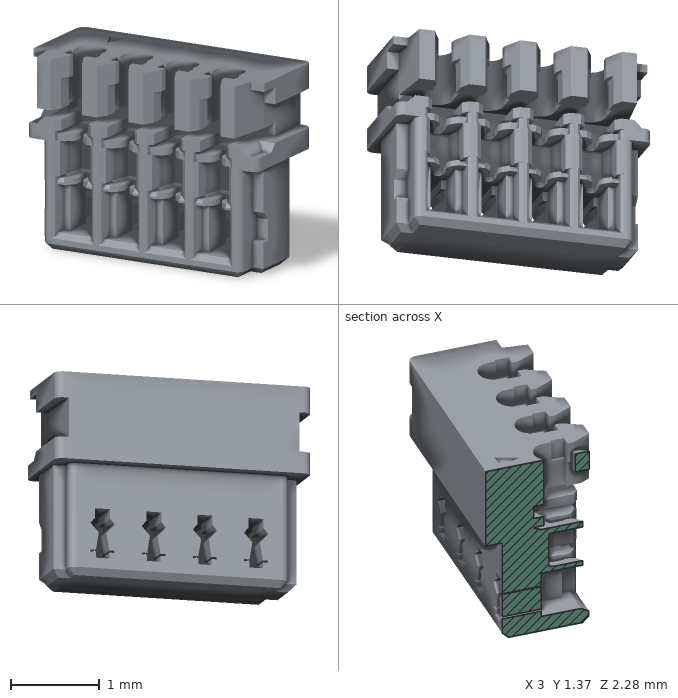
import cadquery as cq


length = 3.0
height = 2.28
front_y = 0.0
back_y = 1.24
tooth_front_y = -0.132
overcut = 0.09

contact_count = 4
pitch = 0.6
contact_xs = [(i - (contact_count - 1) / 2) * pitch for i in range(contact_count)]

body_half = 1.287
body_back_y = 1.04
body_round = 0.085
bottom_chamfer = 0.078
panel_half = 1.425
panel_front_y = 0.282
panel_back_y = 0.865
latch_depth = 0.095
latch_bottom = 0.387
latch_top = 0.635

flange_bottom = 1.278
flange_top = 1.527
flange_round = 0.095
corner_floor = 1.437
corner_floor_x = 1.383
corner_floor_y = 0.32

neck_half = 1.353
neck_front_y = 0.415
plate_bottom = 1.98
tab_bottom = 2.185
tab_front_y = 0.168
tooth_bottom = 1.68
tooth_row_half = 1.285
wire_slot_left = -1.203
wire_slot_back_y = 0.66

wire_radius = 0.177
wire_back_y = 0.605
notch_half = 0.207
notch_back_y = 0.333
notch_floor = 2.03
hook_half = 0.0885
hook_tip_y = 0.095
flare_half = 0.205
lower_gap_half = 0.14

flange_mouth_half = 0.24
mouth_half = 0.273
mouth_depth = 0.03
wall_front_half = 0.24
wall_back_half = 0.225
window_depth = 0.215
sill_front = 0.145
sill_depth = 0.1
cavity_floor = 0.198
window_top = 0.865
channel_half = 0.147
shelf_half = 0.222
shelf_back_y = 0.573
shelf_slope_end_y = 0.657
shelf_top = 1.4
barrel_mouth_half = 0.26
barrel_half = 0.198
barrel_back_half = 0.15
barrel_taper_y = 0.29
barrel_back_y = 0.48
barrel_floor_bevel = 0.027
barrel_roof_bevel = 0.015

upper_guide_bottom = flange_bottom
upper_guide_top = 1.36
lower_guide_bottom = 0.768
lower_guide_top = 0.835
guide_front_y = 0.065
guide_slot_radius = 0.0555
guide_slot_back_y = 0.462
guide_slot_start_y = 0.285
guide_neck_half = 0.042
guide_neck_back_y = 0.255
guide_neck_front_y = 0.19
guide_throat_half = 0.055
guide_throat_y = 0.153
guide_lip_half = 0.072
guide_lip_y = 0.125
guide_bevel = 0.04

throat_front_y = 0.57
throat_back_y = 0.81
throat_wide = 0.14
throat_foot = 0.078
throat_waist = 0.045
throat_top = hook_half
slit_bottom = 0.267
slit_top = 0.29
waist_z = 0.492
bulge_z = 0.597
neck_z = 0.66

arrow_half = 0.105
arrow_base_y = 1.04
arrow_tip_y = 0.783
arrow_depth = 0.03


def box(x0, x1, y0, y1, z0, z1):
    """Axis-aligned block between opposite corners."""
    return cq.Workplane("XY", origin=(x0, y0, z0)).box(x1 - x0, y1 - y0, z1 - z0, centered=False)


def prism(points, z0, z1):
    """Plan outline raised from z0 to z1."""
    return cq.Workplane("XY", origin=(0, 0, z0)).polyline(points).close().extrude(z1 - z0)


def mirrored(points):
    """Close a +X half outline with its mirror image."""
    return points + [(-x, y) for x, y in reversed(points)]


def side_profile(points, half_width):
    """(Y, Z) outline extruded both ways along X."""
    return cq.Workplane("YZ").polyline(points).close().extrude(half_width, both=True)


def round_slot(half, end_y, z0, z1):
    """Slot of constant width running in from the front to a round end at end_y."""
    centre_y = end_y - half
    start_y = tooth_front_y - overcut
    return (
        cq.Workplane("XY", origin=(0, 0, z0))
        .moveTo(-half, start_y)
        .lineTo(-half, centre_y)
        .threePointArc((0, end_y), (half, centre_y))
        .lineTo(half, start_y)
        .close()
        .extrude(z1 - z0)
    )


def on_both_ends(tool):
    """The tool together with its mirror image at the other end of the row."""
    return tool.union(tool.mirror("YZ"))


def make_body():
    """Plug block with a raised panel on each end and a latch notch in each panel."""
    block = box(-body_half, body_half, front_y, body_back_y, 0, flange_bottom)
    block = block.edges("|Z").fillet(body_round)
    panels = box(-panel_half, panel_half, panel_front_y, panel_back_y, 0, flange_bottom)
    body = block.union(panels).faces("<Z").edges().chamfer(bottom_chamfer)
    latch_y = panel_front_y + latch_depth
    latch_outline = [
        (panel_front_y, latch_bottom),
        (latch_y, latch_bottom),
        (latch_y, latch_top),
        (panel_front_y, latch_top + latch_depth),
    ]
    latch = side_profile(latch_outline, panel_half).cut(
        box(-body_half, body_half, front_y, body_back_y, 0, flange_bottom)
    )
    return body.cut(latch)


def make_flange():
    """Collar around the top of the body."""
    flange = box(-length / 2, length / 2, front_y, back_y, flange_bottom, flange_top)
    flange = flange.edges("|Z").fillet(flange_round)
    x_outer = -length / 2 - overcut
    drop = flange_top - corner_floor
    y_outer = front_y - overcut
    floor_width = -corner_floor_x - x_outer
    floor_depth = corner_floor_y - y_outer
    corner = (
        cq.Workplane("XY", origin=(x_outer, y_outer, corner_floor))
        .rect(floor_width, floor_depth, centered=False)
        .workplane(offset=drop)
        .rect(floor_width + drop, floor_depth + drop, centered=False)
        .loft(ruled=True)
    )
    return flange.cut(on_both_ends(corner))


def make_head():
    """Neck, upper plate and tooth row above the flange, undercut by a slot open at the +X end."""
    neck = box(-neck_half, neck_half, neck_front_y, back_y, flange_top, height)
    plate = box(-length / 2, length / 2, neck_front_y, back_y, plate_bottom, height)
    plate = plate.edges("|Z and >Y").fillet(flange_round)
    tab = box(-length / 2, length / 2, tab_front_y, neck_front_y, tab_bottom, height)
    teeth_outline = mirrored([(tooth_row_half, tooth_front_y), (neck_half, neck_front_y)])
    teeth = prism(teeth_outline, tooth_bottom, height)
    wire_slot = box(
        wire_slot_left, neck_half, neck_front_y, wire_slot_back_y, flange_top, tooth_bottom
    )
    return neck.union(plate).union(tab).union(teeth).cut(wire_slot)


def make_wire_channel():
    """Void for one wire: round-ended channel closed at the front by hooked teeth."""
    flare_slope = (flare_half - hook_half) / (hook_tip_y - tooth_front_y)
    gap_outline = mirrored(
        [
            (flare_half + flare_slope * overcut, tooth_front_y - overcut),
            (hook_half, hook_tip_y),
            (hook_half, tab_front_y),
        ]
    )
    gap = prism(gap_outline, tooth_bottom, height)
    lower_gap = box(
        -lower_gap_half, lower_gap_half, tooth_front_y - overcut, tab_front_y, tooth_bottom, notch_floor
    )
    channel = round_slot(wire_radius, wire_back_y, shelf_top, height)
    channel = channel.intersect(box(-length, length, tab_front_y, back_y, 0, height))
    notch = box(-notch_half, notch_half, tab_front_y, notch_back_y, notch_floor, height)
    return channel.union(gap).union(lower_gap).union(notch)


def make_flange_mouth():
    """Round-ended slot in the flange with a 45 degree lead-in at the front."""
    slot = round_slot(wire_radius, wire_back_y, shelf_top, flange_top)
    lead_in = flange_mouth_half - wire_radius
    mouth = prism(
        mirrored([(flange_mouth_half, front_y), (wire_radius, front_y + lead_in)]), shelf_top, flange_top
    )
    return slot.union(mouth)


def window_plan():
    """Plan of the window pocket: chamfered mouth, then slightly closing side walls."""
    return mirrored(
        [
            (mouth_half, front_y),
            (wall_front_half, front_y + mouth_depth),
            (wall_back_half, window_depth),
        ]
    )


def make_guide(bottom, top):
    """Plate with a keyhole slot whose front opens in a stepped lead-in."""
    plate = box(-mouth_half, mouth_half, guide_front_y, body_back_y, bottom, top)
    slot = round_slot(guide_slot_radius, guide_slot_back_y, bottom, top)
    slot = slot.intersect(box(-mouth_half, mouth_half, guide_slot_start_y, body_back_y, bottom, top))
    lead_in_outline = mirrored(
        [
            (channel_half, guide_front_y),
            (guide_lip_half, guide_lip_y),
            (guide_throat_half, guide_throat_y),
            (guide_neck_half, guide_neck_front_y),
            (guide_neck_half, guide_neck_back_y),
            (guide_slot_radius, guide_slot_start_y),
        ]
    )
    lead_in = prism(lead_in_outline, bottom, top)
    return plate.cut(slot).cut(lead_in)


def make_lower_guide():
    """Guide plate whose front corners are bevelled beside the lead-in."""
    guide = make_guide(lower_guide_bottom, lower_guide_top)
    bevel_outline = [
        (guide_front_y, lower_guide_top - guide_bevel),
        (guide_front_y, lower_guide_top),
        (guide_front_y + guide_bevel, lower_guide_top),
    ]
    bevel = side_profile(bevel_outline, mouth_half)
    bevel = bevel.cut(box(-channel_half, channel_half, front_y, back_y, 0, height))
    return guide.cut(bevel)


def make_shelf():
    """Wide pocket above the upper guide plate, with a sloping back."""
    mouth = prism(window_plan(), upper_guide_bottom, shelf_top)
    back_outline = [
        (window_depth, upper_guide_bottom),
        (shelf_back_y, upper_guide_bottom),
        (shelf_back_y, upper_guide_top),
        (shelf_slope_end_y, shelf_top),
        (window_depth, shelf_top),
    ]
    return mouth.union(side_profile(back_outline, shelf_half))


def make_barrel():
    """Pocket between the guide plates, closed at the back."""
    lead_in = barrel_mouth_half - barrel_half
    plan = mirrored(
        [
            (barrel_mouth_half + overcut, front_y - overcut),
            (barrel_half, front_y + lead_in),
            (barrel_half, barrel_taper_y),
            (barrel_back_half, barrel_back_y),
        ]
    )
    barrel = prism(plan, lower_guide_top, flange_bottom)
    barrel = barrel.faces("<Z").edges().chamfer(barrel_floor_bevel)
    return barrel.faces(">Z").edges(">Y").chamfer(barrel_roof_bevel)


def make_window():
    """Lower pocket with a sloping sill, leading into a narrow channel."""
    pocket = prism(window_plan(), 0, window_top)
    sill_outline = [
        (front_y, sill_front),
        (front_y + sill_depth, cavity_floor),
        (window_depth, cavity_floor),
        (window_depth, window_top),
        (front_y, window_top),
    ]
    pocket = pocket.intersect(side_profile(sill_outline, mouth_half))
    channel = box(
        -channel_half, channel_half, window_depth, throat_front_y, cavity_floor, lower_guide_top
    )
    return pocket.union(channel)


def make_throat():
    """Waisted opening through the back wall, with funnel sides around the waist."""
    waist = [(throat_foot, slit_top), (throat_waist, waist_z), (throat_wide, bulge_z), (throat_top, neck_z)]
    foot = [
        (throat_foot, cavity_floor),
        (throat_foot, slit_bottom),
        (throat_wide, slit_bottom),
        (throat_wide, slit_top),
    ]
    outline = mirrored(foot + waist + [(throat_top, lower_guide_bottom)])
    through = (
        cq.Workplane("XZ", origin=(0, throat_front_y, 0))
        .polyline(outline)
        .close()
        .extrude(throat_front_y - body_back_y)
    )
    funnel_mouth = mirrored([(throat_wide, z) for _, z in waist])
    funnel = (
        cq.Workplane("XZ", origin=(0, throat_front_y, 0))
        .polyline(funnel_mouth)
        .close()
        .workplane(offset=throat_front_y - throat_back_y)
        .polyline(mirrored(waist))
        .close()
        .loft(ruled=True)
    )
    return through.union(funnel)


def make_contact_cavity():
    """All the voids of one contact position, centred on X = 0."""
    lower = make_window().union(make_barrel()).cut(make_lower_guide())
    upper = make_shelf().cut(make_guide(upper_guide_bottom, upper_guide_top))
    return lower.union(make_throat()).union(upper).union(make_flange_mouth()).union(make_wire_channel())


def make_arrow():
    """Shallow triangular recess marking the first contact."""
    first_x = contact_xs[0]
    outline = [
        (first_x - arrow_half, arrow_base_y),
        (first_x + arrow_half, arrow_base_y),
        (first_x, arrow_tip_y),
    ]
    return prism(outline, height - arrow_depth, height)


result = make_body().union(make_flange()).union(make_head())
cavity = make_contact_cavity()
for contact_x in contact_xs:
    result = result.cut(cavity.translate((contact_x, 0, 0)))
result = result.cut(make_arrow())